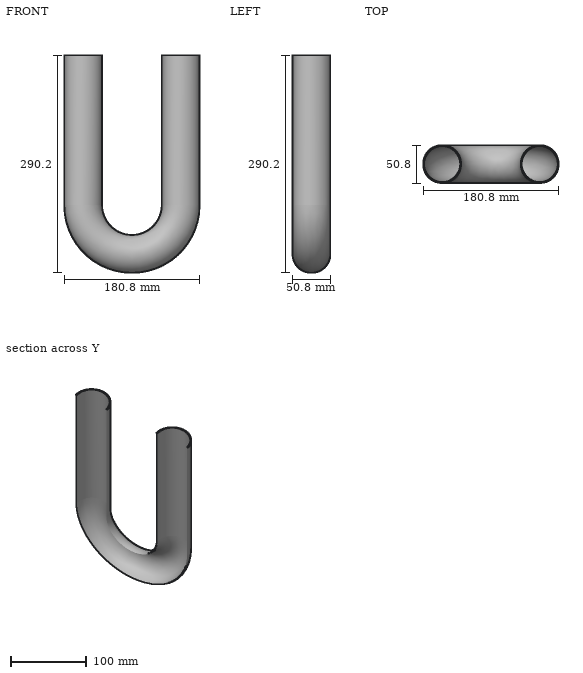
import cadquery as cq

overall_height = 290.2
overall_width = 180.8
outer_diameter = 50.8
inner_diameter = 48.0

bend_radius = (overall_width - outer_diameter) / 2
leg_length = overall_height - bend_radius - outer_diameter / 2


def tube_section():
    """Annular tube section on the left leg axis, where the bend meets the leg."""
    return (
        cq.Workplane("XY")
        .center(-bend_radius, 0)
        .circle(outer_diameter / 2)
        .circle(inner_diameter / 2)
    )


left_leg = tube_section().extrude(leg_length)
right_leg = left_leg.mirror("YZ")

bend = tube_section().revolve(180, (bend_radius, 0, 0), (bend_radius, -1, 0))

result = bend.union(left_leg).union(right_leg)